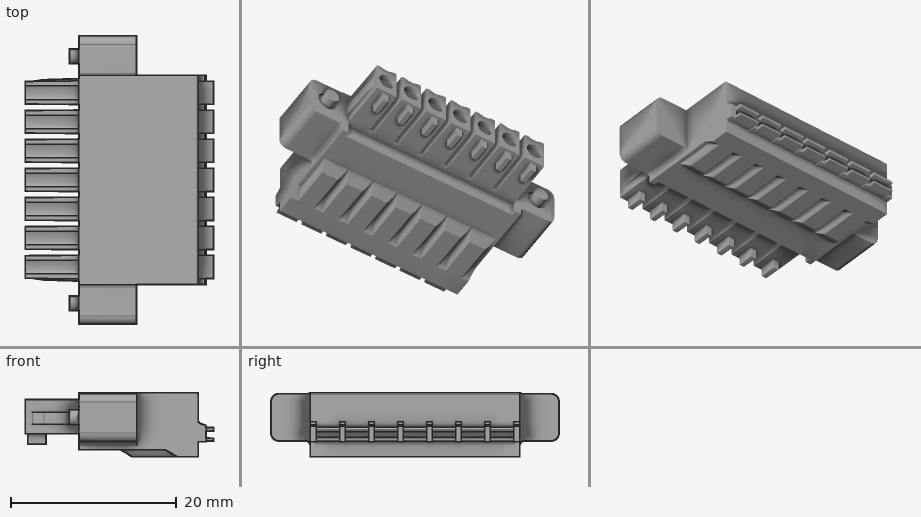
import cadquery as cq
import math


pole_count = 7
row_length = 21.02
pitch = row_length / (pole_count - 1)
pole_places = [i * pitch - row_length / 2 for i in range(pole_count)]
axis_z = 4.77

shell_length = 14.4
shell_width = 25.3
shell_height = 7.75
floor_z = 0.87
heel_start = 10.45
heel_run = 1.43
rear_edge_radius = 0.2

total_width = 34.8
flange_length = 6.95
flange_bottom = 1.9
flange_step = 0.1
flange_top = shell_height - flange_step
flange_corner_radius = 1.0
under_fillet_radius = 0.52
top_fillet_run = 0.225
stud_y = 14.9
stud_radius = 0.9
stud_reach = 1.15
stud_hole_radius = 1.3
stud_hole_depth = 0.42

finger_length = 6.5
finger_tip_width = 2.75
finger_base_width = 2.85
finger_bottom = 2.8
finger_top = 6.95
groove_width = 1.65
groove_depth = 0.225
bore_mouth_radius = 1.08
bore_end_radius = 1.0
bore_depth = 0.85
funnel_end_radius = 0.6
funnel_depth = 0.25

tab_start = -6.2
tab_length = 2.23
tab_width = 0.8
tab_bottom = 1.53
tab_edge_radius = 0.15

bar_start = -5.67
bar_ramp_end = -4.28
bar_ramp_height = 0.2
bar_height = 0.35
bar_bottom = 3.93
bar_top = 5.43

rib_radius = 1.67
rib_axis_z = 1.25
rib_start = 5.05

recess_depth = 0.7
recess_width = row_length + finger_tip_width

prong_end = 16.3
prong_width = 2.82
upper_prong_bottom = 3.03
upper_prong_top = 3.6
lower_prong_bottom = 1.9
lower_prong_top = 2.35
prong_taper = 0.1
prong_tip_radius = 0.2
divider_end = 15.35
divider_bottom = 1.8
divider_end_top = 3.7
divider_bevel_start = 15.2
divider_bevel_top = 3.9
divider_hollow_middle = (14.75, 4.0)
divider_root_top = 4.28


def box(x_range, y_range, z_range):
    size = [b - a for a, b in (x_range, y_range, z_range)]
    start = (x_range[0], y_range[0], z_range[0])
    return cq.Workplane("XY").box(*size, centered=False).translate(start)


def centred(width, middle=0):
    return (middle - width / 2, middle + width / 2)


def side_profile(points, y_range):
    """Extrude an X-Z outline between two Y places."""
    plane = cq.Workplane("XZ", origin=(0, y_range[1], 0))
    return plane.polyline(points).close().extrude(y_range[1] - y_range[0])


def x_cylinder(radius, x_range, y, z):
    plane = cq.Workplane("YZ", origin=(x_range[0], y, z))
    return plane.circle(radius).extrude(x_range[1] - x_range[0])


def make_shell():
    outline = [
        (0, floor_z),
        (heel_start, floor_z),
        (heel_start + heel_run, 0),
        (shell_length, 0),
        (shell_length, shell_height),
        (0, shell_height),
    ]
    shell = side_profile(outline, centred(shell_width))
    shell = shell.edges(">X and >Z").fillet(rear_edge_radius)
    recess = box((0, recess_depth), centred(recess_width), (0, finger_bottom))
    return shell.cut(recess)


def make_rib(y):
    """Round rib, flat at Z = 0, with a sloping front."""
    outline = [
        (rib_start, rib_axis_z),
        (rib_start, floor_z),
        (rib_start + heel_run, 0),
        (heel_start + heel_run, 0),
        (heel_start + heel_run, rib_axis_z),
    ]
    envelope = side_profile(outline, centred(pitch, y))
    rod = x_cylinder(rib_radius, (rib_start, heel_start + heel_run), y, rib_axis_z)
    return rod.intersect(envelope)


def make_flange():
    """Flange on the +Y side, blended into the shell above and below."""
    shell_side = shell_width / 2
    outer = total_width / 2
    top_radius = (top_fillet_run**2 + flange_step**2) / (2 * flange_step)
    half_angle = math.asin(top_fillet_run / top_radius) / 2
    top_middle = (
        shell_side + top_fillet_run - top_radius * math.sin(half_angle),
        flange_top + top_radius * (1 - math.cos(half_angle)),
    )
    under_offset = under_fillet_radius * (1 - math.sqrt(0.5))
    body = (
        cq.Workplane("YZ")
        .moveTo(0, shell_height)
        .lineTo(shell_side, shell_height)
        .threePointArc(top_middle, (shell_side + top_fillet_run, flange_top))
        .lineTo(outer, flange_top)
        .lineTo(outer, flange_bottom)
        .lineTo(shell_side + under_fillet_radius, flange_bottom)
        .threePointArc(
            (shell_side + under_offset, flange_bottom - under_offset),
            (shell_side, flange_bottom - under_fillet_radius),
        )
        .lineTo(shell_side, finger_bottom)
        .lineTo(0, finger_bottom)
        .close()
        .extrude(flange_length)
        .edges("|X and >Y")
        .fillet(flange_corner_radius)
    )
    hole = x_cylinder(stud_hole_radius, (0, stud_hole_depth), stud_y, axis_z)
    stud = x_cylinder(stud_radius, (-stud_reach, stud_hole_depth), stud_y, axis_z)
    return body.cut(hole).union(stud)


def make_bore(y):
    """Slightly tapered screw bore that narrows in a funnel to a flat end."""
    outline = [
        (0, 0),
        (0, bore_mouth_radius),
        (bore_depth, bore_end_radius),
        (bore_depth + funnel_depth, funnel_end_radius),
        (bore_depth + funnel_depth, 0),
    ]
    plane = cq.Workplane("XY", origin=(-finger_length, y, axis_z))
    return plane.polyline(outline).close().revolve(360, (0, 0), (1, 0))


def make_finger(y):
    tip = finger_tip_width / 2
    base = finger_base_width / 2
    finger = (
        cq.Workplane("XY", origin=(0, y, finger_bottom))
        .polyline([(-finger_length, -tip), (0, -base), (0, base), (-finger_length, tip)])
        .close()
        .extrude(finger_top - finger_bottom)
    )
    groove_radius = ((groove_width / 2) ** 2 + groove_depth**2) / (2 * groove_depth)
    groove_z = finger_top - groove_depth + groove_radius
    groove = x_cylinder(groove_radius, (-finger_length, 0), y, groove_z)
    tab_x = (tab_start, tab_start + tab_length)
    tab = box(tab_x, centred(tab_width, y), (tab_bottom, finger_bottom))
    tab = tab.edges("|X and <Z").fillet(tab_edge_radius)
    return finger.cut(groove).cut(make_bore(y)).union(tab)


def make_guide_bar():
    """Ramped bar on the +Y side of the last finger."""
    middle = pole_places[-1]
    side = middle + finger_tip_width / 2
    outline = [
        (bar_start, middle + bore_mouth_radius),
        (bar_start, side),
        (bar_ramp_end, side + bar_ramp_height),
        (0, side + bar_height),
        (0, middle + bore_mouth_radius),
    ]
    plane = cq.Workplane("XY", origin=(0, 0, bar_bottom))
    return plane.polyline(outline).close().extrude(bar_top - bar_bottom)


def make_prongs(y):
    """Two clamp prongs tapered on their facing sides and rounded at the tip."""
    upper_outline = [
        (shell_length, upper_prong_bottom),
        (prong_end, upper_prong_bottom + prong_taper),
        (prong_end, upper_prong_top),
        (shell_length, upper_prong_top),
    ]
    lower_outline = [
        (shell_length, lower_prong_bottom),
        (prong_end, lower_prong_bottom),
        (prong_end, lower_prong_top - prong_taper),
        (shell_length, lower_prong_top),
    ]
    prongs = cq.Workplane("XY")
    for outline in (upper_outline, lower_outline):
        prong = side_profile(outline, centred(prong_width, y))
        tip_edge = prong.faces(">X").edges(">Z")
        prongs = prongs.add(tip_edge.fillet(prong_tip_radius))
    return prongs.combine()


def make_divider(y_range):
    """Wall with a hollow-curved top and a bevelled outer corner."""
    return (
        cq.Workplane("XZ", origin=(0, y_range[1], 0))
        .moveTo(shell_length, divider_bottom)
        .lineTo(divider_end, divider_bottom)
        .lineTo(divider_end, divider_end_top)
        .lineTo(divider_bevel_start, divider_bevel_top)
        .threePointArc(divider_hollow_middle, (shell_length, divider_root_top))
        .close()
        .extrude(y_range[1] - y_range[0])
    )


def divider_places():
    """Y ranges of the gaps between prongs and of the two end walls."""
    half = shell_width / 2
    starts = [-half] + [y + prong_width / 2 for y in pole_places]
    ends = [y - prong_width / 2 for y in pole_places] + [half]
    return list(zip(starts, ends))


part = make_shell()
for pole_y in pole_places:
    part = part.union(make_rib(pole_y))
    part = part.union(make_finger(pole_y))
    part = part.union(make_prongs(pole_y))
for gap in divider_places():
    part = part.union(make_divider(gap))
for side_feature in (make_flange(), make_guide_bar()):
    part = part.union(side_feature)
    part = part.union(side_feature.mirror("XZ"))

result = part